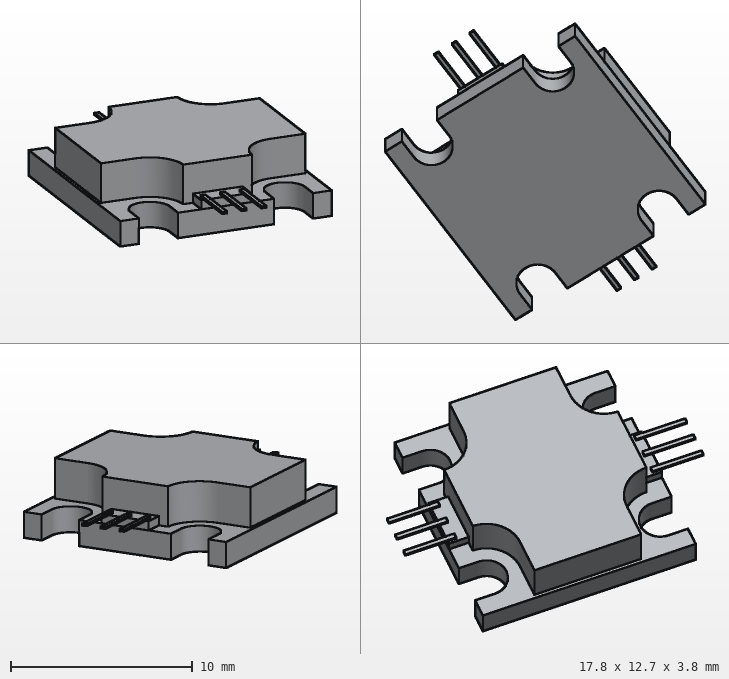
import cadquery as cq

flange_side = 12.7
flange_thickness = 1.5
slot_radius = 1.17
slot_center_x = 5.17
slot_center_y = 4.05

overall_height = 3.8
lid_height = overall_height - flange_thickness
lid_width = 2 * slot_center_x
lid_depth = 12.27
corner_scoop_radius = 2.0

pad_width = 2.97
pad_height = 0.53
pad_length = (flange_side - lid_width) / 2

lead_span = 17.78
lead_length = 3.04
lead_width = 0.28
lead_thickness = 0.1
lead_pitch = 1.17
lead_rows = (-1, 0, 1)

sides = (-1, 1)
slot_centers = [(sx * slot_center_x, sy * slot_center_y) for sx in sides for sy in sides]


def block(length, width, height, x, y, z):
    """Box centered on (x, y) with its bottom at z."""
    return cq.Workplane("XY").box(length, width, height, centered=(True, True, False)).translate((x, y, z))


def make_flange():
    flange = block(flange_side, flange_side, flange_thickness, 0, 0, 0)
    mouth_length = flange_side / 2 - slot_center_x
    mouth_x = slot_center_x + mouth_length / 2
    mouth_centers = [(sx * mouth_x, sy * slot_center_y) for sx in sides for sy in sides]
    rounds = cq.Workplane("XY").pushPoints(slot_centers).circle(slot_radius).extrude(flange_thickness)
    mouths = (
        cq.Workplane("XY")
        .pushPoints(mouth_centers)
        .rect(mouth_length, 2 * slot_radius)
        .extrude(flange_thickness)
    )
    return flange.cut(rounds).cut(mouths).solids()


def make_lid():
    lid = block(lid_width, lid_depth, lid_height, 0, 0, flange_thickness)
    end_length = lid_depth / 2 - slot_center_y
    end_y = slot_center_y + end_length / 2
    end_centers = [(sx * slot_center_x, sy * end_y) for sx in sides for sy in sides]
    lid_base = cq.Workplane("XY", origin=(0, 0, flange_thickness))
    scoops = lid_base.pushPoints(slot_centers).circle(corner_scoop_radius).extrude(lid_height)
    ends = lid_base.pushPoints(end_centers).rect(2 * corner_scoop_radius, end_length).extrude(lid_height)
    return lid.cut(scoops).cut(ends).solids()


def make_pad(side):
    center_x = side * (lid_width + pad_length) / 2
    return block(pad_length, pad_width, pad_height, center_x, 0, flange_thickness)


def make_lead(side, row):
    center_x = side * (lead_span - lead_length) / 2
    bottom_z = flange_thickness + pad_height
    return block(lead_length, lead_width, lead_thickness, center_x, row * lead_pitch, bottom_z)


flange = make_flange()
lid = make_lid()
pads = [make_pad(side) for side in sides]
leads = [make_lead(side, row) for side in sides for row in lead_rows]

result = cq.Compound.makeCompound([
    flange.val(),
    lid.val(),
    *[pad.val() for pad in pads],
    *[lead.val() for lead in leads],
])